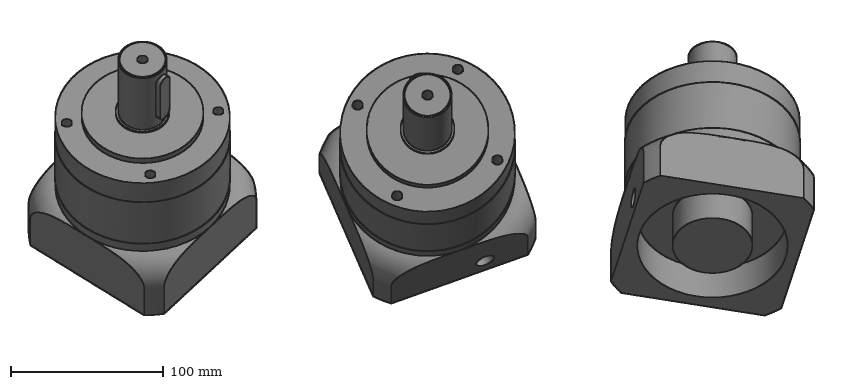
import cadquery as cq
import math

base_width = 115.0
corner_radius = 75.0
shoulder_z = 26.8

housing_radius = base_width / 2
dome_radius = corner_radius - housing_radius
base_top_z = shoulder_z + dome_radius
ring_radius = 115.5 / 2
ring_bottom_z = 52.0
ring_top_z = 93.6
flange_top_z = 112.7

pilot_radius = 40.0
pilot_top_z = 117.3
collar_radius = 17.7
collar_height = 1.2
shaft_radius = 16.0
shaft_chamfer = 1.0
shaft_chamfer_height = 0.5
total_height = 170.5

key_width = 10.0
key_length = 40.0
key_outer_x = 19.0
key_bottom_z = 125.5

drill_radius = 3.4
drill_point_angle = 118.0
flange_hole_depth = 20.0
shaft_hole_depth = 25.5
flange_hole_spacing = 70.8

hub_radius = 26.3
pocket_radius = 49.5
pocket_depth = shoulder_z
access_radius = 6.3
access_y = -18.0
access_z = 14.3


def cylinder(radius, bottom_z, top_z):
    return cq.Workplane("XY").workplane(offset=bottom_z).circle(radius).extrude(top_z - bottom_z)


def drilled_hole(x, y, top_z, depth):
    """Blind hole cutter with a conical drill point below its full-diameter depth."""
    point_depth = drill_radius / math.tan(math.radians(drill_point_angle / 2))
    profile = (
        cq.Workplane("XZ")
        .moveTo(0, 0)
        .lineTo(drill_radius, 0)
        .lineTo(drill_radius, -depth)
        .lineTo(0, -depth - point_depth)
        .close()
    )
    return profile.revolve(360, (0, 0, 0), (0, 1, 0)).translate((x, y, top_z))


def make_base():
    domed_disc = cylinder(corner_radius, 0, base_top_z).faces(">Z").edges().fillet(dome_radius)
    square = cq.Workplane("XY").rect(base_width, base_width).extrude(base_top_z)
    return domed_disc.intersect(square)


def make_housing():
    neck_and_flange = cylinder(housing_radius, base_top_z, flange_top_z)
    gear_ring = cylinder(ring_radius, ring_bottom_z, ring_top_z)
    pilot = cylinder(pilot_radius, flange_top_z, pilot_top_z)
    return neck_and_flange.union(gear_ring).union(pilot)


def make_shaft():
    """Shaft with a chamfered tip, standing on a short collar."""
    collar_top_z = pilot_top_z + collar_height
    profile = (
        cq.Workplane("XZ")
        .moveTo(0, pilot_top_z)
        .lineTo(collar_radius, pilot_top_z)
        .lineTo(collar_radius, collar_top_z)
        .lineTo(shaft_radius, collar_top_z)
        .lineTo(shaft_radius, total_height - shaft_chamfer_height)
        .lineTo(shaft_radius - shaft_chamfer, total_height)
        .lineTo(0, total_height)
        .close()
    )
    return profile.revolve(360, (0, 0, 0), (0, 1, 0))


def make_key():
    return (
        cq.Workplane("YZ")
        .center(0, key_bottom_z + key_length / 2)
        .slot2D(key_length, key_width, 90)
        .extrude(key_outer_x)
    )


def make_clamp_pocket():
    """Annular pocket open at the bottom, plus the side hole that leads into it."""
    pocket = cylinder(pocket_radius, 0, pocket_depth)
    access_hole = (
        cq.Workplane("YZ")
        .center(access_y, access_z)
        .circle(access_radius)
        .extrude(-base_width / 2)
    )
    hub = cylinder(hub_radius, 0, pocket_depth)
    return pocket.union(access_hole).cut(hub)


result = make_base().union(make_housing()).union(make_shaft()).union(make_key())
result = result.cut(make_clamp_pocket())

for x_side in (-1, 1):
    for y_side in (-1, 1):
        hole_x = x_side * flange_hole_spacing / 2
        hole_y = y_side * flange_hole_spacing / 2
        result = result.cut(drilled_hole(hole_x, hole_y, flange_top_z, flange_hole_depth))
result = result.cut(drilled_hole(0, 0, total_height, shaft_hole_depth))